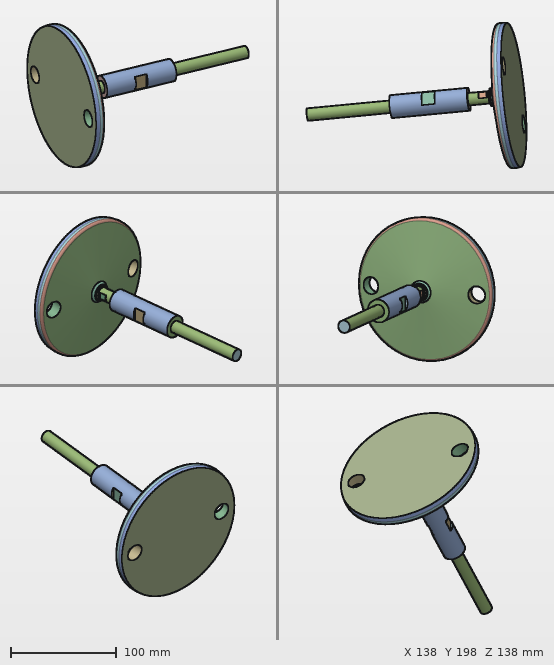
import cadquery as cq
import math

TOTAL_LENGTH = 198.0
SOLE_Y = -TOTAL_LENGTH / 2

FOOT_RADIUS = 138.0 / 2
SOLE_RADIUS = FOOT_RADIUS - 0.5
TAPER_HEIGHT = 4.2
RIM_HEIGHT = 9.3
RIM_ROUND = 2.8
CONE_ANGLE = 9.6
CONE_TOP_RADIUS = 10.5

COLLAR_RADIUS = 8.5
COLLAR_BOTTOM_HEIGHT = 21.8
COLLAR_TOP_HEIGHT = 22.2
SHOULDER_RADIUS = 7.3
NECK_HEIGHT = 23.4

UNDERCUT_RADIUS = 7.7
UNDERCUT_HEIGHT = 21.4

HOLE_DIAMETER = 16.5
HOLE_CENTER_RADIUS = 52.7
HOLE_REACH = 29.7

ROD_DIAMETER = 12.0
ROD_FLAT_WIDTH = 10.0
ROD_FLAT_HEIGHT = 25.1
ROD_FLAT_LENGTH = 7.7

SLEEVE_DIAMETER = 22.0
SLEEVE_HEIGHT = 43.2
SLEEVE_LENGTH = 74.5
SLEEVE_FLAT_WIDTH = 17.0
SLEEVE_FLAT_LENGTH = 12.5


def cylinder(diameter, start_height, length):
    """Cylinder on the Y axis, starting at a height above the sole."""
    base = cq.Workplane("XZ", origin=(0, SOLE_Y + start_height, 0))
    return base.circle(diameter / 2).extrude(-length)


def cut_wrench_flats(body, diameter, width, start_height, length):
    """Cut two parallel flats facing -X and +X, leaving the given width across them."""
    for side in (-1, 1):
        cutter = cq.Workplane("XY").box(diameter, length, 2 * diameter).translate(
            (side * (width + diameter) / 2, SOLE_Y + start_height + length / 2, 0)
        )
        body = body.cut(cutter)
    return body


def make_foot():
    slope = math.tan(math.radians(CONE_ANGLE))
    cone_top_height = RIM_HEIGHT + (FOOT_RADIUS - CONE_TOP_RADIUS) * slope

    round_angle = math.radians(90 - CONE_ANGLE)
    round_setback = RIM_ROUND * math.tan(round_angle / 2)
    center_radius = FOOT_RADIUS - RIM_ROUND
    center_height = RIM_HEIGHT - round_setback

    def round_point(angle):
        return (
            center_radius + RIM_ROUND * math.cos(angle),
            center_height + RIM_ROUND * math.sin(angle),
        )

    foot = (
        cq.Workplane("XY")
        .moveTo(0, 0)
        .lineTo(SOLE_RADIUS, 0)
        .lineTo(FOOT_RADIUS, TAPER_HEIGHT)
        .lineTo(FOOT_RADIUS, center_height)
        .threePointArc(round_point(round_angle / 2), round_point(round_angle))
        .lineTo(CONE_TOP_RADIUS, cone_top_height)
        .lineTo(UNDERCUT_RADIUS, UNDERCUT_HEIGHT)
        .lineTo(COLLAR_RADIUS, COLLAR_BOTTOM_HEIGHT)
        .lineTo(COLLAR_RADIUS, COLLAR_TOP_HEIGHT)
        .lineTo(SHOULDER_RADIUS, COLLAR_TOP_HEIGHT)
        .lineTo(ROD_DIAMETER / 2, NECK_HEIGHT)
        .lineTo(0, NECK_HEIGHT)
        .close()
        .revolve(360, (0, 0), (0, 1))
        .translate((0, SOLE_Y, 0))
    )
    for side in (-1, 1):
        foot = foot.cut(make_hole_cutter(side))
    return foot


def make_hole_cutter(side):
    """Drill leaning outward, through the sole at HOLE_CENTER_RADIUS."""
    angle = math.radians(CONE_ANGLE)
    axis = cq.Vector(side * math.sin(angle), math.cos(angle), 0)
    center = cq.Vector(side * HOLE_CENTER_RADIUS, SOLE_Y, 0)
    start = center - axis * HOLE_REACH
    return cq.Workplane(cq.Solid.makeCylinder(HOLE_DIAMETER / 2, 2 * HOLE_REACH, start, axis))


def make_rod():
    rod = cylinder(ROD_DIAMETER, NECK_HEIGHT, TOTAL_LENGTH - NECK_HEIGHT)
    return cut_wrench_flats(rod, ROD_DIAMETER, ROD_FLAT_WIDTH, ROD_FLAT_HEIGHT, ROD_FLAT_LENGTH)


def make_sleeve():
    sleeve = cylinder(SLEEVE_DIAMETER, SLEEVE_HEIGHT, SLEEVE_LENGTH)
    flat_height = SLEEVE_HEIGHT + (SLEEVE_LENGTH - SLEEVE_FLAT_LENGTH) / 2
    sleeve = cut_wrench_flats(
        sleeve, SLEEVE_DIAMETER, SLEEVE_FLAT_WIDTH, flat_height, SLEEVE_FLAT_LENGTH
    )
    return sleeve.cut(cylinder(ROD_DIAMETER, SLEEVE_HEIGHT, SLEEVE_LENGTH))


foot = make_foot()
rod = make_rod()
sleeve = make_sleeve()

result = cq.Compound.makeCompound([foot.val(), rod.val(), sleeve.val()])